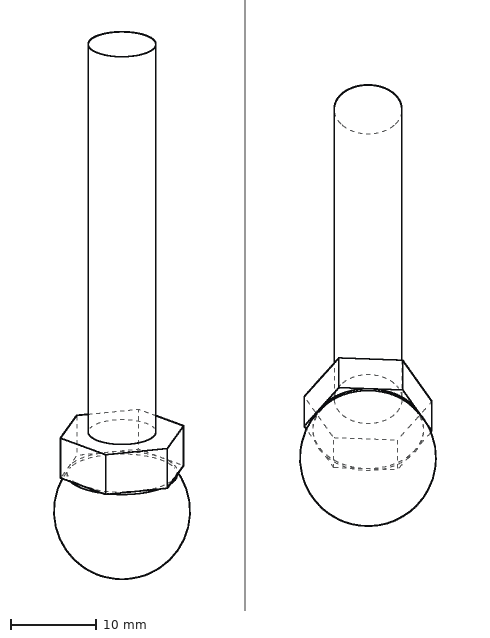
import cadquery as cq
import math

total_length = 67.0
ball_diameter = 16.0
rod_diameter = 8.0
rod_length = 49.0
hex_across_flats = 13.0
hex_height = 5.0

ball_radius = ball_diameter / 2
hex_top = total_length - rod_length
hex_bottom = hex_top - hex_height
hex_across_corners = hex_across_flats / math.cos(math.pi / 6)

neck_radius = hex_across_flats / 2
neck_bottom = ball_radius + math.sqrt(ball_radius**2 - neck_radius**2)

ball_and_neck = (
    cq.Workplane("XZ")
    .moveTo(0, 0)
    .threePointArc((ball_radius, ball_radius), (neck_radius, neck_bottom))
    .lineTo(neck_radius, hex_bottom)
    .lineTo(0, hex_bottom)
    .close()
    .revolve(360, (0, 0, 0), (0, 1, 0))
)

hexagon = (
    cq.Workplane("XY")
    .workplane(offset=hex_bottom)
    .polygon(6, hex_across_corners)
    .extrude(hex_height)
)

rod = cq.Workplane("XY").workplane(offset=hex_top).circle(rod_diameter / 2).extrude(rod_length)

result = ball_and_neck.union(hexagon).union(rod)